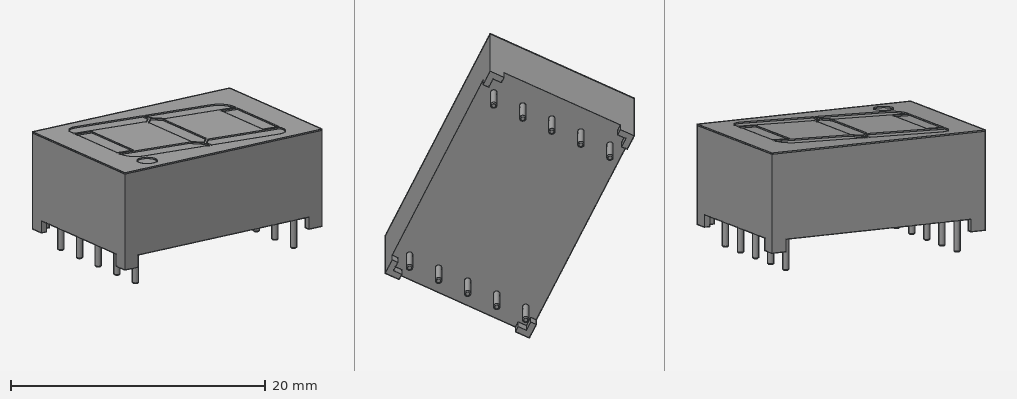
import cadquery as cq
import math

LENGTH = 19.0
WIDTH = 12.6
TOTAL_HEIGHT = 9.82
PIN_DROP = 1.75
PLATE_THICKNESS = 0.11
PLATE_TOP = TOTAL_HEIGHT - PIN_DROP
HOUSING_TOP = PLATE_TOP - PLATE_THICKNESS

ROWS = 2
PINS_PER_ROW = 5
ROW_SPACING = 15.24
PITCHES_BETWEEN_ROWS = 6
PIN_PITCH = ROW_SPACING / PITCHES_BETWEEN_ROWS
PIN_DIAMETER = 0.51
PIN_CHAMFER = 0.1

FOOT_HEIGHT = 1.0
FOOT_WIDTH = (WIDTH - (PINS_PER_ROW - 1) * PIN_PITCH) / 2
FOOT_LENGTH = 1.27
FOOT_WALL = 0.5

SLANT = math.tan(math.radians(8.0))
DIGIT_HALF_HEIGHT = 7.09
DIGIT_HALF_WIDTH = 4.55
UPRIGHT_INNER = 3.08
BAR_HALF_WIDTH = 2.83
BAR_HEIGHT = 1.42
MIDDLE_TIP = 3.63
UPRIGHT_GAP = 0.19
UPRIGHT_POINT = 3.82
BLUNT_CORNER_RADIUS = 1.42
SHARP_CORNER_RADIUS = 0.95

DOT_RADIUS = 0.8
DOT_X = 4.79
DOT_Y = DOT_RADIUS - DIGIT_HALF_HEIGHT


def leaning(x, y):
    """Point at height y on a leaning line that crosses mid height at x."""
    return (x + SLANT * y, y)


def plate_cutter(points):
    """Prism through the face plate with the given outline."""
    return cq.Workplane("XY").workplane(offset=HOUSING_TOP).polyline(points).close().extrude(PLATE_THICKNESS)


def half_turn(cutter):
    """Copy of a cutter turned half a turn about the digit's centre."""
    return cutter.rotate((0, 0, 0), (0, 0, 1), 180)


def top_bar():
    """Parallelogram between the two upper uprights."""
    bottom = DIGIT_HALF_HEIGHT - BAR_HEIGHT
    return plate_cutter([
        leaning(-BAR_HALF_WIDTH, bottom),
        leaning(BAR_HALF_WIDTH, bottom),
        leaning(BAR_HALF_WIDTH, DIGIT_HALF_HEIGHT),
        leaning(-BAR_HALF_WIDTH, DIGIT_HALF_HEIGHT),
    ])


def middle_bar():
    """Hexagon with 45 degree points."""
    half_height = BAR_HEIGHT / 2
    shoulder = MIDDLE_TIP - half_height
    return plate_cutter([
        (-MIDDLE_TIP, 0),
        (-shoulder, half_height),
        (shoulder, half_height),
        (MIDDLE_TIP, 0),
        (shoulder, -half_height),
        (-shoulder, -half_height),
    ])


def upper_upright(side, corner_radius):
    """Upper upright on the left (side -1) or right (side 1), with its outer top corner rounded."""
    foot = UPRIGHT_GAP / 2
    bend = side * (UPRIGHT_POINT + foot - UPRIGHT_INNER) / (SLANT + side)
    corner = leaning(side * DIGIT_HALF_WIDTH, DIGIT_HALF_HEIGHT)
    cutter = plate_cutter([
        leaning(side * DIGIT_HALF_WIDTH, foot),
        corner,
        leaning(side * UPRIGHT_INNER, DIGIT_HALF_HEIGHT),
        leaning(side * UPRIGHT_INNER, bend),
        (side * UPRIGHT_POINT, foot),
    ])
    corner_edge = cq.selectors.NearestToPointSelector((*corner, HOUSING_TOP + PLATE_THICKNESS / 2))
    return cutter.edges("|Z").edges(corner_edge).fillet(corner_radius)


def make_face_plate():
    """Thin plate with the segments and the decimal point cut through."""
    plate = cq.Workplane("XY").workplane(offset=HOUSING_TOP).rect(WIDTH, LENGTH).extrude(PLATE_THICKNESS)
    upper_segments = [
        top_bar(),
        upper_upright(-1, BLUNT_CORNER_RADIUS),
        upper_upright(1, SHARP_CORNER_RADIUS),
    ]
    for segment in upper_segments:
        plate = plate.cut(segment).cut(half_turn(segment))
    dot = (
        cq.Workplane("XY").workplane(offset=HOUSING_TOP)
        .center(DOT_X, DOT_Y).circle(DOT_RADIUS).extrude(PLATE_THICKNESS)
    )
    return plate.cut(middle_bar()).cut(dot)


def make_housing():
    """Block on four L-shaped corner feet, with the pins fixed in its underside."""
    block = (
        cq.Workplane("XY").workplane(offset=FOOT_HEIGHT)
        .rect(WIDTH, LENGTH).extrude(HOUSING_TOP - FOOT_HEIGHT)
    )
    feet = (
        cq.Workplane("XY")
        .rect(WIDTH - FOOT_WIDTH, LENGTH - FOOT_LENGTH, forConstruction=True).vertices()
        .rect(FOOT_WIDTH, FOOT_LENGTH).extrude(FOOT_HEIGHT)
        .cut(
            cq.Workplane("XY")
            .rect(WIDTH - 2 * FOOT_WALL, LENGTH - 2 * FOOT_WALL).extrude(FOOT_HEIGHT)
        )
    )
    pins = (
        cq.Workplane("XY").workplane(offset=-PIN_DROP)
        .rarray(PIN_PITCH, ROW_SPACING, PINS_PER_ROW, ROWS)
        .circle(PIN_DIAMETER / 2).extrude(PIN_DROP + FOOT_HEIGHT)
        .faces("<Z").chamfer(PIN_CHAMFER)
    )
    return block.union(feet).union(pins)


housing = make_housing()
face_plate = make_face_plate()
result = cq.Compound.makeCompound([housing.val(), face_plate.val()])